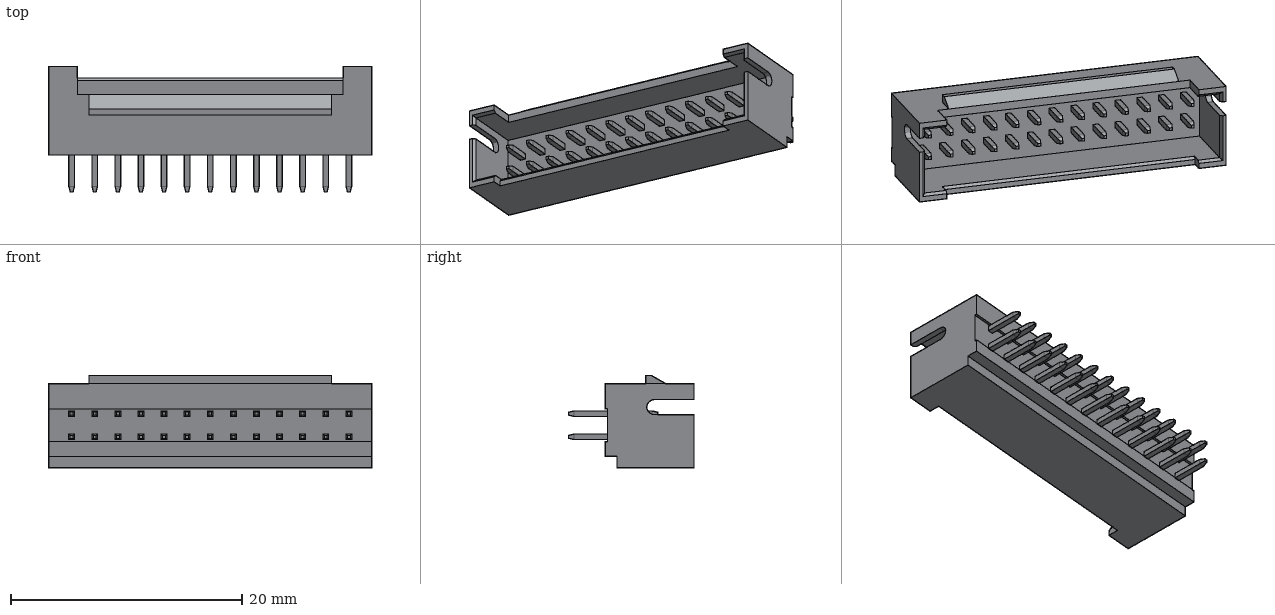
import cadquery as cq


length = 28.0
depth = 7.7
height = 7.3

end_wall = 0.53
long_wall = 0.7
back_wall = 2.0
lead_in = 0.22

notch_width = 23.02
upper_notch_depth = 2.45
lower_notch_depth = 1.0

slot_depth = 4.1
slot_height = 1.3
slot_drop = 1.4

band_height = 2.85
band_depth = 0.2
step_size = 1.0

ridge_length = 21.0
ridge_height = 0.7
ridge_depth = 1.75
ridge_flat = 0.5

pins_per_row = 13
row_length = 24.0
row_mid_height = 3.7
pin_size = 0.5
pin_tip_size = 0.25
pin_tip_length = 0.5
pin_rear_end = -3.2
pin_front_end = 4.55
pin_pitch = row_length / (pins_per_row - 1)

cavity_length = length - 2 * end_wall
cavity_height = height - 2 * long_wall
upper_edge = depth - upper_notch_depth
lower_edge = depth - lower_notch_depth


def block(size_x, y_min, y_max, z_min, z_max):
    """Box centred on X = 0 between the given Y and Z limits."""
    box = cq.Workplane("XY").box(size_x, y_max - y_min, z_max - z_min, centered=(True, False, False))
    return box.translate((0, y_min, z_min))


def side_profile(points, size_x):
    """Closed (Y, Z) outline extruded symmetrically about X = 0."""
    return cq.Workplane("YZ").polyline(points).close().extrude(size_x / 2, both=True)


def tapered(start_size, end_size, y_start, y_end, x=0.0, z=0.0):
    """Rectangular frustum along Y; each size is (X, Z)."""
    plane = cq.Plane(origin=(x, y_start, z), xDir=(1, 0, 0), normal=(0, -1, 0))
    sketch = cq.Workplane(plane).rect(*start_size)
    return sketch.workplane(offset=y_start - y_end).rect(*end_size).loft(ruled=True)


def make_cavity():
    bore = block(cavity_length, back_wall, depth, long_wall, height - long_wall)
    mouth = tapered(
        (cavity_length + 2 * lead_in, cavity_height + 2 * lead_in),
        (cavity_length, cavity_height),
        depth,
        depth - lead_in,
        z=height / 2,
    )
    return bore.union(mouth)


def make_notches():
    upper = block(notch_width, upper_edge, depth, height / 2, height)
    lower = block(notch_width, lower_edge, depth, 0, height / 2)
    lower_lead_in = side_profile(
        [
            (lower_edge - lead_in, long_wall),
            (lower_edge, long_wall),
            (lower_edge, long_wall - lead_in),
        ],
        notch_width,
    )
    return upper.union(lower).union(lower_lead_in)


def make_slot():
    """Open-ended slot with a full-round inner end."""
    radius = slot_height / 2
    top = height - slot_drop
    bottom = top - slot_height
    inner_end = depth - slot_depth
    outline = (
        cq.Workplane("YZ")
        .moveTo(depth, top)
        .lineTo(inner_end + radius, top)
        .threePointArc((inner_end, top - radius), (inner_end + radius, bottom))
        .lineTo(depth, bottom)
        .close()
    )
    return outline.extrude(length / 2, both=True)


def make_ridge():
    rear = upper_edge - ridge_depth
    return side_profile(
        [
            (rear, height),
            (rear, height + ridge_height),
            (rear + ridge_flat, height + ridge_height),
            (upper_edge, height),
        ],
        ridge_length,
    )


def make_pin(x, z):
    """Square pin with a blunt taper at both ends."""
    full = (pin_size, pin_size)
    blunt = (pin_tip_size, pin_tip_size)
    shank_front = pin_front_end - pin_tip_length
    shank_rear = pin_rear_end + pin_tip_length
    front_tip = tapered(blunt, full, pin_front_end, shank_front, x, z)
    shank = block(pin_size, shank_rear, shank_front, -pin_size / 2, pin_size / 2).translate((x, 0, z))
    rear_tip = tapered(full, blunt, shank_rear, pin_rear_end, x, z)
    return shank.union(front_tip).union(rear_tip)


housing = block(length, 0, depth, 0, height)
housing = housing.cut(make_cavity()).cut(make_notches()).cut(make_slot())
band_bottom = row_mid_height - band_height / 2
housing = housing.cut(block(length, 0, band_depth, band_bottom, band_bottom + band_height))
housing = housing.cut(block(length, 0, step_size, 0, step_size))
housing = housing.union(make_ridge())

result = housing
for row_z in (row_mid_height - pin_pitch / 2, row_mid_height + pin_pitch / 2):
    for index in range(pins_per_row):
        pin_x = -row_length / 2 + index * pin_pitch
        result = result.union(make_pin(pin_x, row_z))